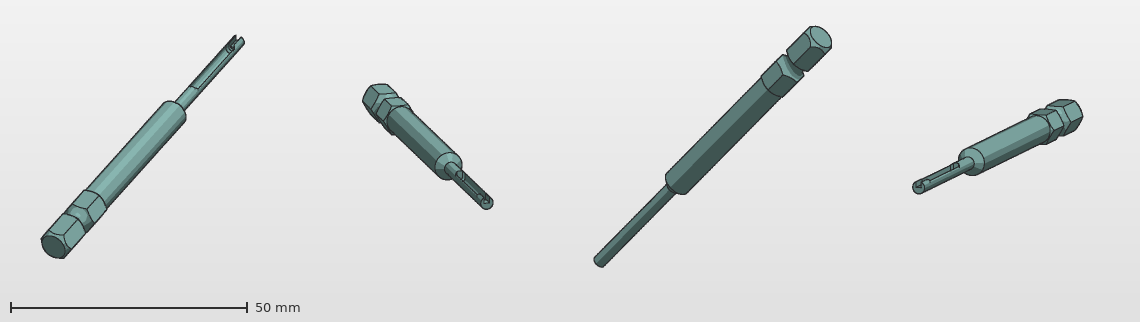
import cadquery as cq
import math

LENGTH = 80.0

HEX_FLATS = 6.35
HEX_CORNERS = HEX_FLATS / math.cos(math.radians(30))
HEX_LENGTH = 17.0
END_FACE_RADIUS = 2.8
END_CHAMFER_LENGTH = 1.2
SHOULDER_CHAMFER_LENGTH = 0.5
GROOVE_Y = 9.3
GROOVE_NECK_RADIUS = 2.35
GROOVE_ARC_RADIUS = 2.0

BODY_RADIUS = 3.0
TIP_RADIUS = 1.375
CONE_LENGTH = BODY_RADIUS - TIP_RADIUS
TIP_LENGTH = 26.4

CRADLE_RADIUS = 1.05
THROAT_RADIUS = 0.6
CRADLE_START_Y = LENGTH - 19.85
CRADLE_END_Y = LENGTH - 3.1
CRADLE_TAPER_LENGTH = 0.5
SLOT_LENGTH = 2.5
SLOT_FLOOR_Z = 0.0


def make_hex_drive():
    """Hexagonal bar with flats facing +Z and -Z, both ends turned to a cone."""
    bar = cq.Workplane("XZ").polygon(6, HEX_CORNERS).extrude(-HEX_LENGTH)
    corner_radius = HEX_CORNERS / 2
    turned_envelope = (
        cq.Workplane("XY")
        .moveTo(0, 0)
        .lineTo(END_FACE_RADIUS, 0)
        .lineTo(corner_radius, END_CHAMFER_LENGTH)
        .lineTo(corner_radius, HEX_LENGTH - SHOULDER_CHAMFER_LENGTH)
        .lineTo(BODY_RADIUS, HEX_LENGTH)
        .lineTo(0, HEX_LENGTH)
        .close()
        .revolve(360, (0, 0, 0), (0, 1, 0))
    )
    return bar.intersect(turned_envelope)


def make_retaining_groove():
    """Ring that cuts the round-bottomed groove around the hexagon."""
    arc_center_radius = GROOVE_NECK_RADIUS + GROOVE_ARC_RADIUS
    return (
        cq.Workplane("XY")
        .moveTo(arc_center_radius, GROOVE_Y)
        .circle(GROOVE_ARC_RADIUS)
        .revolve(360, (0, 0, 0), (0, 1, 0))
    )


def make_shaft():
    """Round body, 45 degree cone and slender tip."""
    tip_start = LENGTH - TIP_LENGTH
    return (
        cq.Workplane("XY")
        .moveTo(0, HEX_LENGTH)
        .lineTo(BODY_RADIUS, HEX_LENGTH)
        .lineTo(BODY_RADIUS, tip_start - CONE_LENGTH)
        .lineTo(TIP_RADIUS, tip_start)
        .lineTo(TIP_RADIUS, LENGTH)
        .lineTo(0, LENGTH)
        .close()
        .revolve(360, (0, 0, 0), (0, 1, 0))
    )


def cradle_outline():
    """Closed half outline of the cradle beside the shaft axis, with tapered ends and a narrow throat."""
    return (
        cq.Workplane("XY")
        .moveTo(0, CRADLE_START_Y)
        .lineTo(THROAT_RADIUS, CRADLE_START_Y)
        .lineTo(CRADLE_RADIUS, CRADLE_START_Y + CRADLE_TAPER_LENGTH)
        .lineTo(CRADLE_RADIUS, CRADLE_END_Y - CRADLE_TAPER_LENGTH)
        .lineTo(THROAT_RADIUS, CRADLE_END_Y)
        .lineTo(THROAT_RADIUS, LENGTH - SLOT_LENGTH)
        .lineTo(0, LENGTH - SLOT_LENGTH)
        .close()
    )


def make_cradle():
    """Trough with a round bottom centred on the shaft axis and upright walls open to +Z."""
    round_bottom = cradle_outline().revolve(360, (0, 0, 0), (0, 1, 0))
    half_opening = cradle_outline().extrude(TIP_RADIUS)
    return round_bottom.union(half_opening).union(half_opening.mirror("YZ"))


def make_tip_slot():
    """Flat-floored slot, as wide as the throat, open at the tip end."""
    return (
        cq.Workplane("XY", origin=(0, LENGTH - SLOT_LENGTH, SLOT_FLOOR_Z))
        .box(2 * THROAT_RADIUS, SLOT_LENGTH, TIP_RADIUS - SLOT_FLOOR_Z, centered=(True, False, False))
    )


drive = make_hex_drive().cut(make_retaining_groove())
result = drive.union(make_shaft()).cut(make_cradle()).cut(make_tip_slot())